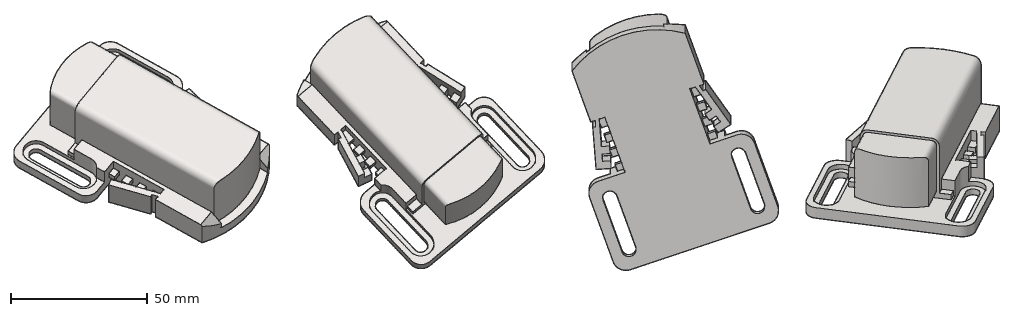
import cadquery as cq
import math


OVERLAP = 1.0

PLATE_LENGTH = 36.0
PLATE_WIDTH = 64.0
PLATE_THICKNESS = 4.5
PLATE_CORNER_RADIUS = 5.0
SLOT_CENTER_X = PLATE_LENGTH / 2
SLOT_CENTER_Y = 25.0
SLOT_SPACING = 21.0
SLOT_WIDTH = 5.3
RECESS_WIDTH = 9.7
RECESS_DEPTH = 2.0

TOTAL_LENGTH = 86.0
BASE_HEIGHT = 11.0
BASE_END_RADIUS = 38.7
WALL_HALF_WIDTH = 16.5
SHOULDER_START_X = 21.0
SHOULDER_HALF_WIDTH = 22.25
END_BLOCK_START_X = 58.4
END_BLOCK_HALF_WIDTH = 22.0
END_SLOPE_START_X = 78.5
END_SLOPE_ANGLE = 41.0

RAIL_START_X = 18.0
RAIL_HALF_WIDTH = 19.5
RAIL_HEIGHT = 6.7
TOOTH_SIZE = 3.0
TOOTH_PITCH = 2 * TOOTH_SIZE
FIRST_GAP_START_X = 38.65
GAP_COUNT = 3

LEVER_TIP_X = 40.5
LEVER_TIP_Y = 26.2
LEVER_ANGLE = 15.0
LEVER_THICKNESS = 2.6
LEVER_LENGTH = 16.4
HINGE_THICKNESS = 1.5
LEVER_TOOTH_OFFSETS = (0.0, 5.7)

HOUSING_START_X = RAIL_START_X
HOUSING_END_X = 82.6
HOUSING_WIDTH = 30.0
HOUSING_TOP = 29.5
HOUSING_EDGE_RADIUS = 3.0
NOSE_STEP = 1.0
NOSE_START_X = 2.7
NOSE_WIDTH = HOUSING_WIDTH - 2 * NOSE_STEP
NOSE_BOTTOM = 7.5
NOSE_TOP = HOUSING_TOP - NOSE_STEP
NOSE_EDGE_RADIUS = HOUSING_EDGE_RADIUS - NOSE_STEP
NOSE_END_RADIUS = 30.0


def block(x_start, x_end, y_start, y_end, z_start, z_end):
    """Box given by its limits along each axis."""
    size = (x_end - x_start, y_end - y_start, z_end - z_start)
    return cq.Workplane("XY").box(*size, centered=False).translate((x_start, y_start, z_start))


def arc_drop(radius, half_width):
    """Distance from the crown of an arc back to its chord."""
    return radius - math.sqrt(radius**2 - half_width**2)


def round_ended(x_flat, x_crown, half_width, radius, z_start, z_end):
    """Prism with a flat end at x_flat and an arc-shaped end whose crown is at x_crown."""
    direction = math.copysign(1, x_crown - x_flat)
    x_corner = x_crown - direction * arc_drop(radius, half_width)
    return (
        cq.Workplane("XY", origin=(0, 0, z_start))
        .moveTo(x_flat, -half_width)
        .lineTo(x_corner, -half_width)
        .threePointArc((x_crown, 0), (x_corner, half_width))
        .lineTo(x_flat, half_width)
        .close()
        .extrude(z_end - z_start)
    )


def slots(width, z_start, z_end):
    """Pair of slot-shaped prisms at the mounting slots."""
    return (
        cq.Workplane("XY", origin=(SLOT_CENTER_X, 0, z_start))
        .pushPoints([(0, SLOT_CENTER_Y), (0, -SLOT_CENTER_Y)])
        .slot2D(SLOT_SPACING + width, width)
        .extrude(z_end - z_start)
    )


def mounting_plate():
    plate = block(0, PLATE_LENGTH, -PLATE_WIDTH / 2, PLATE_WIDTH / 2, 0, PLATE_THICKNESS)
    return plate.edges("|Z").fillet(PLATE_CORNER_RADIUS)


def shoulder():
    """Raised block across the plate; the slot recesses cut into its sides."""
    return block(
        SHOULDER_START_X, PLATE_LENGTH, -SHOULDER_HALF_WIDTH, SHOULDER_HALF_WIDTH, 0, BASE_HEIGHT
    )


def center_wall():
    return block(
        PLATE_LENGTH - OVERLAP,
        END_BLOCK_START_X + OVERLAP,
        -WALL_HALF_WIDTH,
        WALL_HALF_WIDTH,
        0,
        BASE_HEIGHT,
    )


def end_block():
    """Round-ended block with sloped sides and a low tongue ahead of the housing."""
    body = round_ended(
        END_BLOCK_START_X, TOTAL_LENGTH, END_BLOCK_HALF_WIDTH, BASE_END_RADIUS, 0, BASE_HEIGHT
    )
    slope_run = TOTAL_LENGTH - END_SLOPE_START_X
    slope_drop = slope_run * math.tan(math.radians(END_SLOPE_ANGLE))
    slope_cut = (
        cq.Workplane("XZ")
        .moveTo(END_SLOPE_START_X, BASE_HEIGHT)
        .lineTo(TOTAL_LENGTH, BASE_HEIGHT)
        .lineTo(TOTAL_LENGTH, BASE_HEIGHT - slope_drop)
        .close()
        .extrude(END_BLOCK_HALF_WIDTH, both=True)
    )
    tongue_cut = block(
        END_SLOPE_START_X,
        TOTAL_LENGTH,
        -HOUSING_WIDTH / 2,
        HOUSING_WIDTH / 2,
        PLATE_THICKNESS,
        BASE_HEIGHT,
    )
    return body.cut(slope_cut).cut(tongue_cut)


def toothed_rail():
    y_limits = (-RAIL_HALF_WIDTH, RAIL_HALF_WIDTH)
    z_limits = (PLATE_THICKNESS, RAIL_HEIGHT)
    rail = block(RAIL_START_X, END_BLOCK_START_X, *y_limits, *z_limits)
    for index in range(GAP_COUNT):
        gap_start = FIRST_GAP_START_X + index * TOOTH_PITCH
        gap_end = gap_start + TOOTH_SIZE
        rail = rail.cut(block(gap_start, gap_end, *y_limits, *z_limits))
    return rail


def lever():
    """Slanted lever on the +Y side, with two teeth facing the rail and a thin hinge."""
    run_to_block = (END_BLOCK_START_X - LEVER_TIP_X) / math.cos(math.radians(LEVER_ANGLE))
    hinge_end = run_to_block + OVERLAP
    arm = block(0, LEVER_LENGTH, -LEVER_THICKNESS, 0, 0, BASE_HEIGHT)
    hinge_outer = HINGE_THICKNESS - LEVER_THICKNESS
    arm = arm.union(
        block(LEVER_LENGTH - OVERLAP, hinge_end, -LEVER_THICKNESS, hinge_outer, 0, BASE_HEIGHT)
    )
    for offset in LEVER_TOOTH_OFFSETS:
        tooth_tip = -LEVER_THICKNESS - TOOTH_SIZE
        arm = arm.union(block(offset, offset + TOOTH_SIZE, tooth_tip, -OVERLAP, 0, RAIL_HEIGHT))
    return arm.rotate((0, 0, 0), (0, 0, 1), -LEVER_ANGLE).translate((LEVER_TIP_X, LEVER_TIP_Y, 0))


def housing():
    body = round_ended(
        HOUSING_START_X, HOUSING_END_X, HOUSING_WIDTH / 2, BASE_END_RADIUS, 0, HOUSING_TOP
    )
    return body.edges("|X and >Z").fillet(HOUSING_EDGE_RADIUS)


def nose():
    body = round_ended(
        HOUSING_START_X + OVERLAP, NOSE_START_X, NOSE_WIDTH / 2, NOSE_END_RADIUS, NOSE_BOTTOM, NOSE_TOP
    )
    return body.edges("|X and >Z").fillet(NOSE_EDGE_RADIUS)


base = mounting_plate().union(shoulder())
base = base.cut(slots(SLOT_WIDTH, 0, PLATE_THICKNESS))
base = base.cut(slots(RECESS_WIDTH, PLATE_THICKNESS - RECESS_DEPTH, BASE_HEIGHT))
base = base.union(center_wall()).union(end_block()).union(toothed_rail())

left_lever = lever()
base = base.union(left_lever).union(left_lever.mirror("XZ"))

result = base.union(housing()).union(nose())